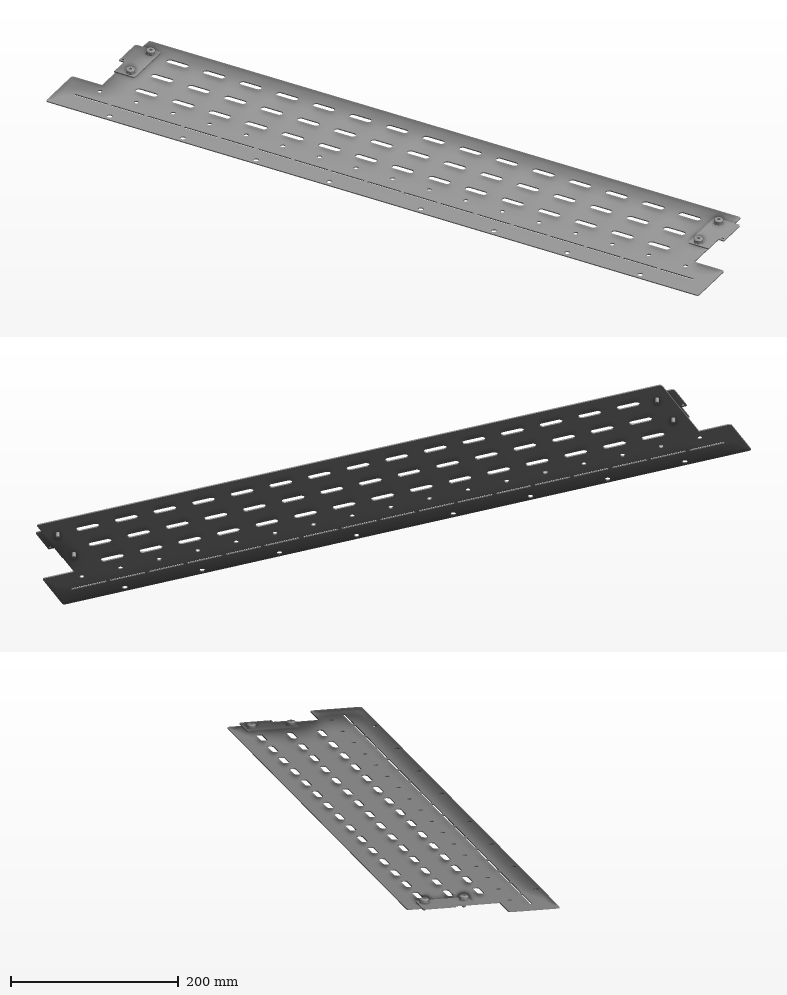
import cadquery as cq

overall_width = 891.5
overall_depth = 177.68
overall_height = 14.2
rear_width = 809.0
front_depth = 63.5
plate_thickness = 1.5
plate_corner_radius = 3.0

pitch = 50.0
obround_length = 29.0
obround_width = 8.0
obround_columns = 15
obround_rows = 3
obround_row_spacing = 37.5
first_obround_y = 74.8
round_hole_diameter = 5.7
round_hole_count = 17
round_hole_y = 50.0
slit_length = 45.0
slit_width = 2.7
slit_count = 17
slit_y = 29.0

edge_hole_diameter = 6.5
edge_hole_y = 7.2
edge_hole_spacing = 2 * pitch
edge_holes_per_side = 3
first_edge_hole_x = 62.5
edge_slot_x = first_edge_hole_x + edge_holes_per_side * edge_hole_spacing
edge_slot_length = 7.0

bracket_thickness = 1.5
bracket_inner_x = 378.0
bracket_step_x = 406.0
bracket_outer_x = 413.4
bracket_front_y = 95.5
bracket_step_y = 120.0
bracket_rear_y = 160.3
bracket_corner_radius = 3.0
tab_hole_diameter = 3.0
tab_hole_x = (bracket_step_x + bracket_outer_x) / 2
tab_hole_y = 123.5

screw_x = 388.0
screw_ys = (103.0, 152.0)
washer_diameter = 12.0
washer_thickness = 1.0
head_diameter = 11.0
head_height = 5.0
head_chamfer = 1.0
socket_sides = 6
socket_width_across_corners = 4.6
socket_depth = 2.5
shank_diameter = 5.0
shank_chamfer = 0.5

bracket_top_z = plate_thickness + bracket_thickness
head_top_z = bracket_top_z + head_height
shank_bottom_z = head_top_z - overall_height


def centred_row(count):
    """X positions of a row of features at the common pitch, centred on X = 0."""
    return [(i - (count - 1) / 2) * pitch for i in range(count)]


def disc(x, y, bottom_z, diameter, height):
    return cq.Workplane("XY", origin=(x, y, bottom_z)).circle(diameter / 2).extrude(height)


def make_plate():
    front = cq.Workplane("XY").rect(overall_width, front_depth).extrude(plate_thickness)
    front = front.edges("|Z").fillet(plate_corner_radius)
    front = front.translate((0, front_depth / 2, 0))
    rear = cq.Workplane("XY").rect(rear_width, overall_depth).extrude(plate_thickness)
    rear = rear.edges("|Z and >Y").fillet(plate_corner_radius)
    rear = rear.translate((0, overall_depth / 2, 0))
    return front.union(rear)


def cut_through(plate, profiles):
    return plate.cut(profiles.extrude(plate_thickness))


def cut_obrounds(plate):
    row_ys = [first_obround_y + row * obround_row_spacing for row in range(obround_rows)]
    centres = [(x, y) for x in centred_row(obround_columns) for y in row_ys]
    return cut_through(plate, cq.Workplane("XY").pushPoints(centres).slot2D(obround_length, obround_width))


def cut_round_holes(plate):
    centres = [(x, round_hole_y) for x in centred_row(round_hole_count)]
    return cut_through(plate, cq.Workplane("XY").pushPoints(centres).circle(round_hole_diameter / 2))


def cut_slits(plate):
    """Row of slits with narrow webs between them."""
    centres = [(x, slit_y) for x in centred_row(slit_count)]
    return cut_through(plate, cq.Workplane("XY").pushPoints(centres).rect(slit_length, slit_width))


def cut_edge_holes(plate):
    hole_xs = [first_edge_hole_x + i * edge_hole_spacing for i in range(edge_holes_per_side)]
    holes = [(side * x, edge_hole_y) for side in (-1, 1) for x in hole_xs]
    plate = cut_through(plate, cq.Workplane("XY").pushPoints(holes).circle(edge_hole_diameter / 2))
    slots = [(side * edge_slot_x, edge_hole_y) for side in (-1, 1)]
    slot_profiles = cq.Workplane("XY").pushPoints(slots).slot2D(edge_slot_length, edge_hole_diameter)
    return cut_through(plate, slot_profiles)


def make_screw(x, y):
    """Socket screw with a washer under its head, passing through bracket and plate."""
    washer = disc(x, y, bracket_top_z, washer_diameter, washer_thickness)
    head = disc(x, y, bracket_top_z, head_diameter, head_height)
    head = head.faces(">Z").edges().chamfer(head_chamfer)
    socket = cq.Workplane("XY", origin=(x, y, head_top_z)).polygon(socket_sides, socket_width_across_corners)
    socket = socket.extrude(-socket_depth)
    shank = disc(x, y, shank_bottom_z, shank_diameter, bracket_top_z - shank_bottom_z)
    shank = shank.faces("<Z").edges().chamfer(shank_chamfer)
    return washer.union(head).cut(socket).union(shank)


def make_bracket():
    """Bracket of the +X side with its two screws."""
    outline = [
        (bracket_inner_x, bracket_front_y),
        (bracket_step_x, bracket_front_y),
        (bracket_step_x, bracket_step_y),
        (bracket_outer_x, bracket_step_y),
        (bracket_outer_x, bracket_rear_y),
        (bracket_inner_x, bracket_rear_y),
    ]
    bracket = cq.Workplane("XY", origin=(0, 0, plate_thickness)).polyline(outline).close()
    bracket = bracket.extrude(bracket_thickness)
    bracket = bracket.edges("|Z and (<X or >Y)").fillet(bracket_corner_radius)
    bracket = bracket.cut(disc(tab_hole_x, tab_hole_y, plate_thickness, tab_hole_diameter, bracket_thickness))
    for y in screw_ys:
        bracket = bracket.union(make_screw(screw_x, y))
    return bracket


plate = make_plate()
plate = cut_obrounds(plate)
plate = cut_round_holes(plate)
plate = cut_slits(plate)
plate = cut_edge_holes(plate)

bracket = make_bracket()
result = plate.union(bracket).union(bracket.mirror("YZ"))